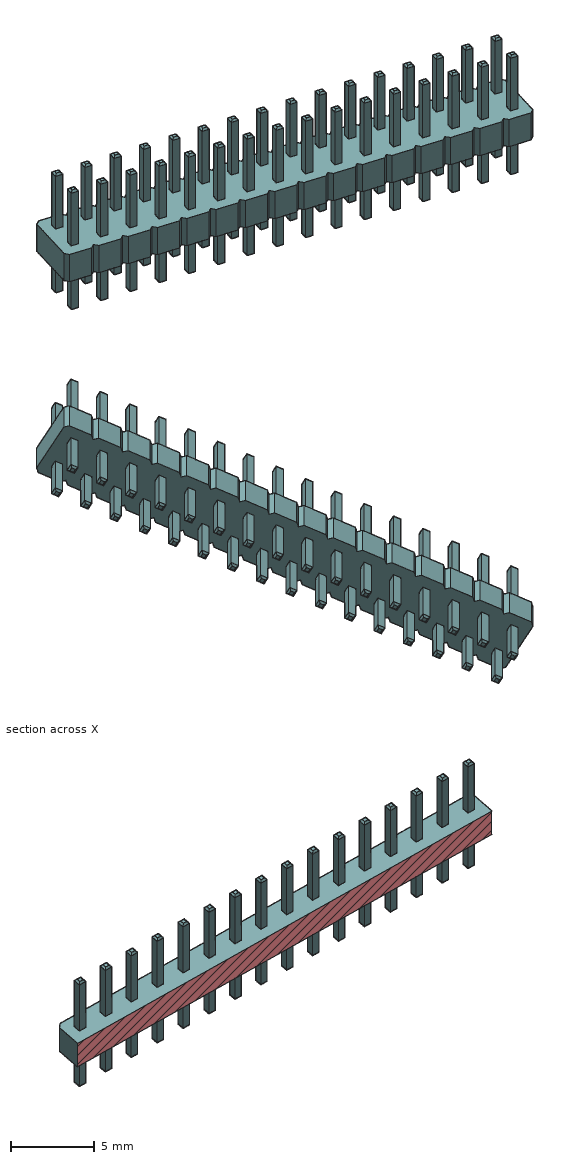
import cadquery as cq

pitch = 2.0
columns = 2
rows = 16
body_height = 2.0
body_chamfer = 0.25
pin_width = 0.5
pin_tip_chamfer = 0.125
pin_above_body = 4.0
pin_below_body = 2.8

body_width = columns * pitch
body_length = rows * pitch
pin_length = pin_below_body + body_height + pin_above_body


def centered_positions(count):
    """Positions at one pitch, centred on zero."""
    return [(i - (count - 1) / 2) * pitch for i in range(count)]


def make_housing():
    """Row of cells along Y; their chamfered corners meet as V notches. Bottom at Z = 0."""
    half_width = body_width / 2
    half_cell = pitch / 2
    right_side = []
    for y in centered_positions(rows):
        right_side += [
            (half_width - body_chamfer, y - half_cell),
            (half_width, y - half_cell + body_chamfer),
            (half_width, y + half_cell - body_chamfer),
        ]
    right_side.append((half_width - body_chamfer, body_length / 2))
    left_side = [(-x, y) for x, y in reversed(right_side)]
    return cq.Workplane("XY").polyline(right_side + left_side).close().extrude(body_height)


def make_pin(x, y):
    """Square pin through the housing, with both tips chamfered."""
    return (
        cq.Workplane("XY", origin=(x, y, -pin_below_body))
        .rect(pin_width, pin_width)
        .extrude(pin_length)
        .faces("<Z or >Z")
        .chamfer(pin_tip_chamfer)
    )


result = make_housing()
for pin_x in centered_positions(columns):
    for pin_y in centered_positions(rows):
        result = result.union(make_pin(pin_x, pin_y))